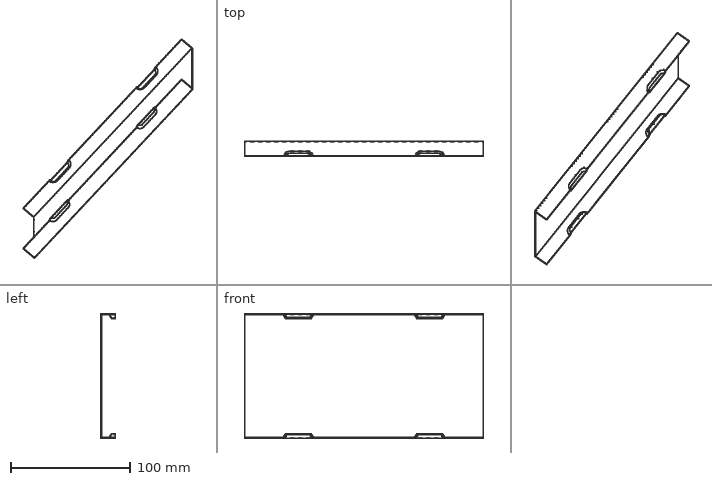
import cadquery as cq
import math

length = 200.0
depth = 12.5
height = 104.5
sheet = 1.0

dimple_spacing = 110.0
dimple_straight = 15.0
dimple_depth = 3.0
mouth_radius = 4.0
wall_angle = 30.0

free_edge_y = -depth / 2
flange_outer_z = height / 2
flange_inner_z = flange_outer_z - sheet
wall_narrowing = dimple_depth * math.tan(math.radians(wall_angle))
dimple_centres_x = (-dimple_spacing / 2, dimple_spacing / 2)


def envelope():
    return cq.Workplane("XY").box(length, depth, height)


def channel():
    cavity = cq.Workplane("XY").box(length, depth, height - 2 * sheet)
    return envelope().cut(cavity.translate((0, -sheet, 0)))


def tapered_slot(centre_x, top_z, top_radius):
    """Round-ended slot centred on the free edge, narrowing downward over the dimple depth."""
    bottom_radius = top_radius - wall_narrowing
    return (
        cq.Workplane("XY", origin=(centre_x, free_edge_y, top_z))
        .slot2D(dimple_straight + 2 * top_radius, 2 * top_radius)
        .workplane(offset=-dimple_depth)
        .slot2D(dimple_straight + 2 * bottom_radius, 2 * bottom_radius)
        .loft(ruled=True)
    )


def add_dimples(body, centre_x):
    """Form one dimple in the upper flange and its mirror image in the lower flange."""
    bulge = tapered_slot(centre_x, flange_inner_z, mouth_radius + sheet).intersect(envelope())
    pocket = tapered_slot(centre_x, flange_outer_z, mouth_radius)
    body = body.union(bulge).union(bulge.mirror("XY"))
    return body.cut(pocket).cut(pocket.mirror("XY"))


result = channel()
for x in dimple_centres_x:
    result = add_dimples(result, x)